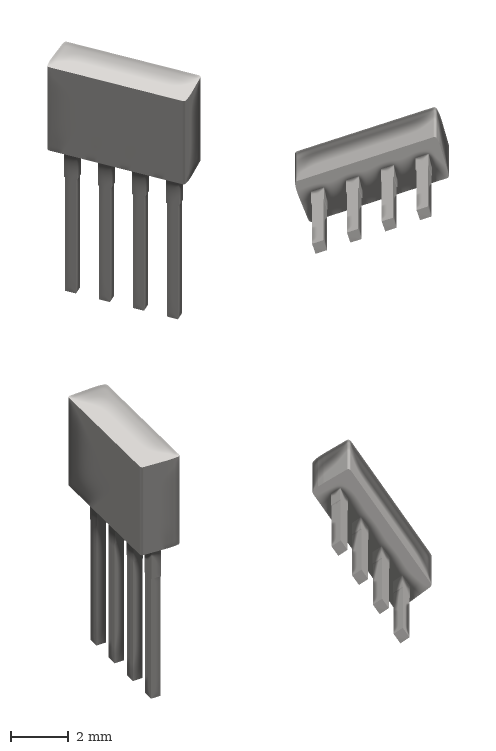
import cadquery as cq
import math

TOTAL_HEIGHT = 10.07
BODY_WIDTH = 5.22
BODY_DEPTH = 1.55
BODY_HEIGHT = 3.66

BAND_FRONT = 0.28
BAND_BACK = 0.51
FRONT_DRAFT = 7.0
BACK_DRAFT = 3.0
FRONT_RADIUS = 0.1
BACK_RADIUS = 0.1

LEAD_COUNT = 4
LEAD_PITCH = 1.27
LEAD_THICKNESS = 0.38
LEAD_WIDTH = 0.41
SHOULDER_WIDTH = 0.47
SHOULDER_LENGTH = 1.43

LEAD_LENGTH = TOTAL_HEIGHT - BODY_HEIGHT


def make_body():
    """Moulded body: a drafted outline extruded upwards, with rounded upright corners."""
    half_width = BODY_WIDTH / 2
    front_half = half_width - BAND_FRONT * math.tan(math.radians(FRONT_DRAFT))
    back_half = half_width - (BODY_DEPTH - BAND_BACK) * math.tan(math.radians(BACK_DRAFT))
    right_side = [
        (front_half, 0),
        (half_width, BAND_FRONT),
        (half_width, BAND_BACK),
        (back_half, BODY_DEPTH),
    ]
    left_side = [(-x, y) for x, y in reversed(right_side)]
    return (
        cq.Workplane("XY", origin=(0, 0, LEAD_LENGTH))
        .polyline(right_side + left_side)
        .close()
        .extrude(BODY_HEIGHT)
        .edges("|Z and <Y")
        .fillet(FRONT_RADIUS)
        .edges("|Z and >Y")
        .fillet(BACK_RADIUS)
    )


def make_lead(center_x):
    """Straight lead with a wider shoulder next to the body."""
    center_y = BAND_BACK + LEAD_THICKNESS / 2
    base = cq.Workplane("XY", origin=(center_x, center_y, 0))
    pin = base.rect(LEAD_WIDTH, LEAD_THICKNESS).extrude(LEAD_LENGTH)
    shoulder = (
        base.workplane(offset=LEAD_LENGTH - SHOULDER_LENGTH)
        .rect(SHOULDER_WIDTH, LEAD_THICKNESS)
        .extrude(SHOULDER_LENGTH)
    )
    return pin.union(shoulder)


result = make_body()
for index in range(LEAD_COUNT):
    result = result.union(make_lead((index - (LEAD_COUNT - 1) / 2) * LEAD_PITCH))